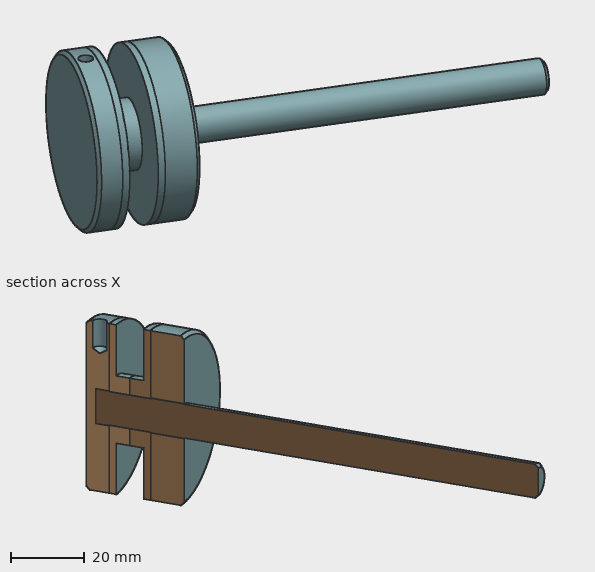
import cadquery as cq
import math

total_length = 134.0
disc_diameter = 50.0
cap_thickness = 7.0
base_thickness = 10.0
flange_thickness = 2.0
sleeve_diameter = 20.0
sleeve_length = 4.0
rod_diameter = 10.0
rod_socket_depth = 4.0
edge_chamfer = 1.0

spanner_hole_diameter = 4.0
spanner_hole_depth = 8.0
spanner_hole_setback = 4.0
drill_point_angle = 118.0

bushing_length = flange_thickness + sleeve_length
front_bushing_start = cap_thickness
back_bushing_end = front_bushing_start + 2 * bushing_length
rod_start = cap_thickness - rod_socket_depth


def cylinder(diameter, start, length):
    """Cylinder on the common axis, extending toward +Y from start."""
    plane = cq.Workplane("XZ", origin=(0, start, 0))
    return plane.circle(diameter / 2).extrude(-length)


def spanner_hole():
    """Drilled hole with a conical bottom, pointing down from the top of the cap."""
    radius = spanner_hole_diameter / 2
    rim = disc_diameter / 2
    floor = rim - spanner_hole_depth
    tip = floor - radius / math.tan(math.radians(drill_point_angle / 2))
    profile = [(0, tip), (radius, floor), (radius, rim), (0, rim)]
    plane = cq.Workplane("XZ", origin=(0, spanner_hole_setback, 0))
    return plane.polyline(profile).close().revolve(360, (0, 0), (0, 1))


def make_cap():
    """Front disc with a blind socket for the rod and a spanner hole in its rim."""
    body = cylinder(disc_diameter, 0, cap_thickness).faces("<Y").chamfer(edge_chamfer)
    socket = cylinder(rod_diameter, rod_start, rod_socket_depth)
    return body.cut(socket).cut(spanner_hole())


def make_bushing(outer_face, direction):
    """Flanged bushing whose sleeve points along Y in the given direction (+1 or -1)."""
    flange = cylinder(disc_diameter, outer_face, direction * flange_thickness)
    sleeve = cylinder(sleeve_diameter, outer_face, direction * bushing_length)
    bore = cylinder(rod_diameter, outer_face, direction * bushing_length)
    return flange.union(sleeve).cut(bore)


def make_base():
    """Rear disc with a through bore for the rod."""
    body = cylinder(disc_diameter, back_bushing_end, base_thickness)
    body = body.faces(">Y").chamfer(edge_chamfer)
    return body.cut(cylinder(rod_diameter, back_bushing_end, base_thickness))


def make_rod():
    """Rod through the base and bushings, ending in the socket of the cap."""
    return cylinder(rod_diameter, rod_start, total_length - rod_start).faces(">Y").chamfer(edge_chamfer)


cap = make_cap()
base = make_base()
rod = make_rod()

bushings = []
for outer_face, direction in ((front_bushing_start, 1), (back_bushing_end, -1)):
    bushings.append(make_bushing(outer_face, direction).solids().val())

result = cq.Compound.makeCompound([
    cap.solids().val(),
    base.solids().val(),
    rod.val(),
    *bushings,
])